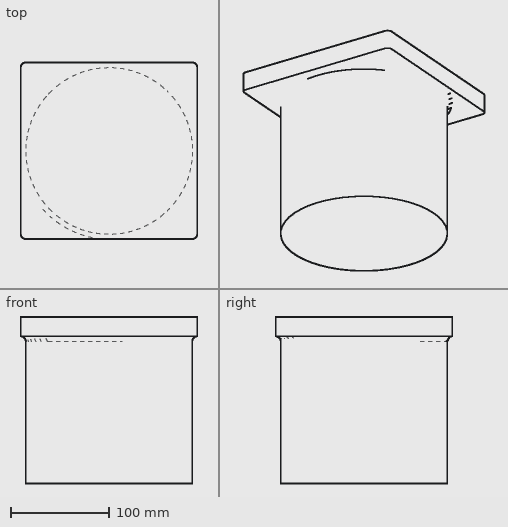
import cadquery as cq
import math

plate_side = 180.0
plate_thickness = 20.0
plate_corner_radius = 5.0

total_height = 170.0
post_radius = 85.0
post_height = total_height - plate_thickness

root_fillet_radius = plate_side / 2 - post_radius


def make_plate():
    """Square plate with rounded vertical corners, sitting on top of the post."""
    return (
        cq.Workplane("XY")
        .workplane(offset=post_height)
        .rect(plate_side, plate_side)
        .extrude(plate_thickness)
        .edges("|Z")
        .fillet(plate_corner_radius)
    )


def make_post():
    """Solid of revolution about Z: a cylinder that flares out under the plate."""
    flare_radius = post_radius + root_fillet_radius
    flare_start = post_height - root_fillet_radius
    arc_offset = root_fillet_radius * math.sqrt(0.5)
    arc_middle = (-(flare_radius - arc_offset), flare_start + arc_offset)
    return (
        cq.Workplane("XZ")
        .lineTo(-post_radius, 0)
        .lineTo(-post_radius, flare_start)
        .threePointArc(arc_middle, (-flare_radius, post_height))
        .lineTo(0, post_height)
        .close()
        .revolve(360, (0, 0, 0), (0, 1, 0))
    )


result = make_plate().union(make_post())